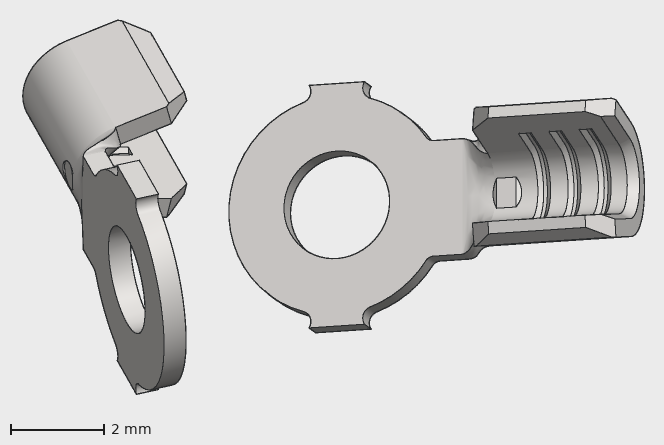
import cadquery as cq
import math

length = 9.14
sheet = 0.5

barrel_length = 3.17
bend_radius = 1.28
barrel_height = 2.79
leg_angle = math.radians(12.7)
bevel_start = 1.26
tip_thickness = 0.265
corner_cut_length = 0.5
corner_cut_height = 0.54
mouth_chamfer_depth = 0.12
mouth_chamfer_length = 0.24

groove_count = 3
groove_pitch = 0.68
first_groove_x = 0.74
groove_width = 0.28
groove_depth = 0.1
groove_leg_reach = 0.86

dent_x = 2.92
dent_radius = 0.32
dent_depth = 0.041
ridge_top_y = 0.58
ridge_flank_angle = math.radians(35)

neck_start = 3.91
neck_half_width = 1.27
transition_steps = 4
ring_radius = 2.41
hole_radius = 1.18
neck_fillet = 0.2
tab_span = 5.33
tab_width = 1.16
tab_fillet = 0.25

ring_x = length - ring_radius
inner_radius = bend_radius - sheet
leg_length = (
    barrel_height - bend_radius + inner_radius * math.sin(leg_angle)
) / math.cos(leg_angle)


def leg_point(along, depth, side):
    """(Y, Z) on a leg: distance along it from the bend, depth from its outer face, side +1 or -1."""
    radius = bend_radius - depth
    y = bend_radius - radius * math.sin(leg_angle) + along * math.cos(leg_angle)
    z = radius * math.cos(leg_angle) + along * math.sin(leg_angle)
    return (y, side * z)


def make_barrel():
    profile = (
        cq.Workplane("YZ")
        .moveTo(*leg_point(0, 0, -1))
        .threePointArc((0, 0), leg_point(0, 0, 1))
        .lineTo(*leg_point(bevel_start, 0, 1))
        .lineTo(*leg_point(leg_length, sheet - tip_thickness, 1))
        .lineTo(*leg_point(leg_length, sheet, 1))
        .lineTo(*leg_point(0, sheet, 1))
        .threePointArc((sheet, 0), leg_point(0, sheet, -1))
        .lineTo(*leg_point(leg_length, sheet, -1))
        .lineTo(*leg_point(leg_length, sheet - tip_thickness, -1))
        .lineTo(*leg_point(bevel_start, 0, -1))
        .close()
    )
    barrel = profile.extrude(barrel_length)

    mouth_y, mouth_z = leg_point(leg_length / 2, sheet, 1)
    mouth_edge = cq.NearestToPointSelector((0, mouth_y, mouth_z))
    barrel = barrel.edges(mouth_edge).chamfer(mouth_chamfer_length, mouth_chamfer_depth)

    for side in (1, -1):
        barrel = barrel.cut(make_corner_cuts(side))
    return barrel


def make_corner_cuts(side):
    """Triangular prisms that clip both tip corners of one leg, square to its faces."""
    tip_y, tip_z = leg_point(leg_length, sheet / 2, side)
    normal = (0, -math.sin(leg_angle), side * math.cos(leg_angle))
    leg_plane = cq.Plane(origin=(0, tip_y, tip_z), xDir=(1, 0, 0), normal=normal)
    inward = -side
    cuts = cq.Workplane(leg_plane)
    for end, step in ((0, corner_cut_length), (barrel_length, -corner_cut_length)):
        cuts = cuts.polyline([(end, 0), (end + step, 0), (end, inward * corner_cut_height)]).close()
    return cuts.extrude(sheet, both=True)


def make_groove(x):
    """Trapezoid with 45 degree flanks, swept around the inner face of the barrel."""
    path = (
        cq.Workplane("YZ", origin=(x, 0, 0))
        .moveTo(*leg_point(groove_leg_reach, sheet, 1))
        .lineTo(*leg_point(0, sheet, 1))
        .threePointArc((sheet, 0), leg_point(0, sheet, -1))
        .lineTo(*leg_point(groove_leg_reach, sheet, -1))
    )
    start_y, start_z = leg_point(groove_leg_reach, sheet, 1)
    start_plane = cq.Plane(
        origin=(x, start_y, start_z),
        xDir=(1, 0, 0),
        normal=(0, -math.cos(leg_angle), -math.sin(leg_angle)),
    )
    top = groove_width / 2
    floor = top - groove_depth
    flare = top + groove_depth
    outline = [
        (-flare, -groove_depth),
        (flare, -groove_depth),
        (floor, groove_depth),
        (-floor, groove_depth),
    ]
    return cq.Workplane(start_plane).polyline(outline).close().sweep(path)


def transition_section(fraction):
    """Closed sheet outline between the bend of the barrel (0) and the flat neck (1)."""
    blend = fraction ** 2 * (3 - 2 * fraction)
    x = barrel_length + fraction * (neck_start - barrel_length)

    def face(depth):
        bend_y, bend_z = leg_point(0, depth, 1)
        edge_y = bend_y + blend * (depth - bend_y)
        edge_z = bend_z + blend * (neck_half_width - bend_z)
        low = cq.Vector(x, edge_y, -edge_z)
        high = cq.Vector(x, edge_y, edge_z)
        if fraction == 1:
            return low, high, cq.Edge.makeLine(low, high)
        return low, high, cq.Edge.makeThreePointArc(low, cq.Vector(x, depth, 0), high)

    outer_low, outer_high, outer = face(0)
    inner_low, inner_high, inner = face(sheet)
    return cq.Wire.assembleEdges([
        outer,
        cq.Edge.makeLine(outer_high, inner_high),
        inner,
        cq.Edge.makeLine(inner_low, outer_low),
    ])


def make_transition():
    sections = [transition_section(i / transition_steps) for i in range(transition_steps + 1)]
    return cq.Workplane(cq.Solid.makeLoft(sections))


def disc(x, z, radius, y_start, y_end):
    return cq.Workplane("XZ", origin=(x, y_start, z)).circle(radius).extrude(y_start - y_end)


def make_ridge():
    """Flat-topped bar with sloping flanks, as wide as the round barrel floor is at its top."""
    half_width = math.sqrt(inner_radius ** 2 - (bend_radius - ridge_top_y) ** 2)
    flank = (ridge_top_y - sheet) / math.tan(ridge_flank_angle)
    start = dent_x - dent_radius
    end = dent_x + dent_radius
    root_y = sheet / 2
    return (
        cq.Workplane("XY")
        .polyline([
            (start, root_y),
            (start, sheet),
            (start + flank, ridge_top_y),
            (end - flank, ridge_top_y),
            (end, sheet),
            (end, root_y),
        ])
        .close()
        .extrude(half_width, both=True)
    )


def plate(x_start, x_end, half_width):
    size = (x_end - x_start, sheet, 2 * half_width)
    return cq.Workplane().box(*size, centered=(False, False, True)).translate((x_start, 0, 0))


def make_ring():
    centre_distance = ring_radius + tab_fillet
    fillet_x = tab_width / 2 + tab_fillet
    fillet_z = math.sqrt(centre_distance ** 2 - fillet_x ** 2)
    touch_x = fillet_x * ring_radius / centre_distance

    ring = disc(ring_x, 0, ring_radius, 0, sheet)
    ring = ring.union(plate(ring_x - touch_x, ring_x + touch_x, tab_span / 2))
    for x_side in (1, -1):
        for z_side in (1, -1):
            ring = ring.cut(disc(ring_x + x_side * fillet_x, z_side * fillet_z, tab_fillet, 0, sheet))
    ring = ring.union(plate(neck_start, ring_x, neck_half_width))
    corner_x = ring_x - math.sqrt(ring_radius ** 2 - neck_half_width ** 2)
    for z in (neck_half_width, -neck_half_width):
        corner = cq.NearestToPointSelector((corner_x, sheet / 2, z))
        ring = ring.edges("|Y").edges(corner).fillet(neck_fillet)
    return ring.cut(disc(ring_x, 0, hole_radius, 0, sheet))


barrel = make_barrel()
for index in range(groove_count):
    barrel = barrel.cut(make_groove(first_groove_x + index * groove_pitch))

result = barrel.union(make_transition()).union(make_ring())
result = result.union(make_ridge())
result = result.cut(disc(dent_x, 0, dent_radius, 0, dent_depth))